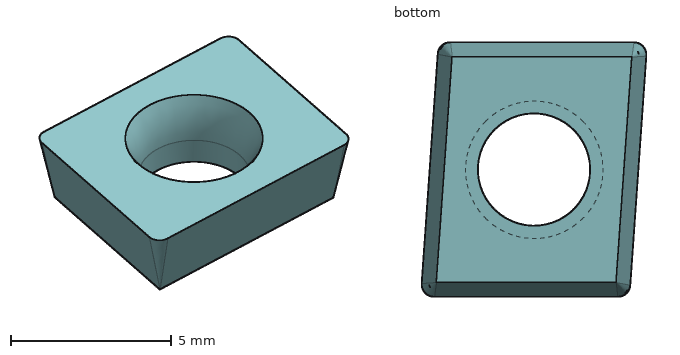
import cadquery as cq
import math

length = 7.94
overall_width = 7.01
thickness = 2.38
corner_radius = 0.4
tip_radius = 0.0015
side_lean = 4.0
clearance_angle = 10.8
bore_diameter = 3.49
mouth_diameter = 4.29
mouth_depth = 1.5

lean = math.radians(side_lean)
clearance_inset = thickness * math.tan(math.radians(clearance_angle))

nose_center_y = length / 2 - corner_radius
nose_center_x = overall_width / 2 - corner_radius
side_spacing = 2 * (nose_center_x - nose_center_y * math.tan(lean) + corner_radius / math.cos(lean))


def rhomboid(inset, radius, z):
    """Rounded parallelogram wire, moved inward from the top outline by inset."""
    half_length = length / 2 - inset
    half_width = side_spacing / 2 - inset / math.cos(lean)
    shift = half_length * math.tan(lean)
    corners = [
        (-half_width + shift, -half_length),
        (half_width + shift, -half_length),
        (half_width - shift, half_length),
        (-half_width - shift, half_length),
    ]
    outline = cq.Wire.makePolygon([cq.Vector(x, y, z) for x, y in corners], close=True)
    return outline.fillet2D(radius, outline.Vertices())


def make_body():
    bottom = rhomboid(clearance_inset, tip_radius, 0)
    top = rhomboid(0, corner_radius, thickness)
    return cq.Workplane(obj=cq.Solid.makeLoft([bottom, top], True))


def make_screw_hole():
    """Bore with a countersink whose wall curves tangentially into the bore."""
    bore_radius = bore_diameter / 2
    mouth_radius = mouth_diameter / 2
    mouth_flare = mouth_radius - bore_radius
    arc_radius = (mouth_flare**2 + mouth_depth**2) / (2 * mouth_flare)
    arc_start_z = thickness - mouth_depth
    half_angle = math.asin(mouth_depth / arc_radius) / 2
    arc_middle = (
        bore_radius + arc_radius * (1 - math.cos(half_angle)),
        arc_start_z + arc_radius * math.sin(half_angle),
    )
    return (
        cq.Workplane("XZ")
        .moveTo(0, 0)
        .lineTo(bore_radius, 0)
        .lineTo(bore_radius, arc_start_z)
        .threePointArc(arc_middle, (mouth_radius, thickness))
        .lineTo(0, thickness)
        .close()
        .revolve(360, (0, 0, 0), (0, 1, 0))
    )


result = make_body().cut(make_screw_hole())